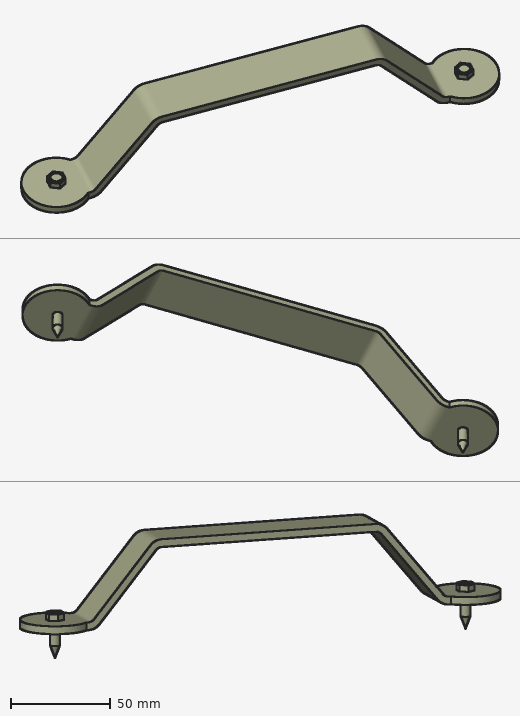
import cadquery as cq
import math

OVERALL_LENGTH = 254.9
STRAP_WIDTH = 25.5
THICKNESS = 4.0
RISE = 40.0
BEND_ANGLE = math.radians(50)
BEND_INNER_RADIUS = 3.8
LOWER_BEND_Y = 96.3
PAD_RADIUS = 17.71
PAD_Y = OVERALL_LENGTH / 2 - PAD_RADIUS

HEAD_FLATS = 8.2
HEAD_CORNERS = HEAD_FLATS / math.cos(math.pi / 6)
HEAD_HEIGHT = 3.8
HEAD_CHAMFER = 0.5
RECESS_DIAMETER = 6.4
RECESS_DEPTH = 0.5
SHANK_DIAMETER = 5.0
SHANK_LENGTH = 9.2
SCREW_LENGTH = 15.8

BEND_RADIUS = BEND_INNER_RADIUS + THICKNESS / 2
BEND_RUN = BEND_RADIUS * math.sin(BEND_ANGLE)
BEND_RISE = BEND_RADIUS * (1 - math.cos(BEND_ANGLE))
LEG_RISE = RISE - 2 * BEND_RISE
LEG_RUN = LEG_RISE / math.tan(BEND_ANGLE)
UPPER_BEND_Y = LOWER_BEND_Y - LEG_RUN - 2 * BEND_RUN


def bend_point(center_y, center_z, radius, angle):
    """Point on a bend arc, with the angle measured from straight up toward +Y."""
    return (center_y + radius * math.sin(angle), center_z + radius * math.cos(angle))


def make_leg():
    """Sloping strap between the +Y pad and the grip, including both bends."""
    inner = BEND_INNER_RADIUS
    outer = inner + THICKNESS
    low = (LOWER_BEND_Y, THICKNESS + inner)
    high = (UPPER_BEND_Y, RISE - inner)
    half = BEND_ANGLE / 2
    return (
        cq.Workplane("YZ")
        .moveTo(*bend_point(*low, -outer, 0))
        .threePointArc(bend_point(*low, -outer, half), bend_point(*low, -outer, BEND_ANGLE))
        .lineTo(*bend_point(*high, inner, BEND_ANGLE))
        .threePointArc(bend_point(*high, inner, half), bend_point(*high, inner, 0))
        .lineTo(*bend_point(*high, outer, 0))
        .threePointArc(bend_point(*high, outer, half), bend_point(*high, outer, BEND_ANGLE))
        .lineTo(*bend_point(*low, -inner, BEND_ANGLE))
        .threePointArc(bend_point(*low, -inner, half), bend_point(*low, -inner, 0))
        .close()
        .extrude(STRAP_WIDTH / 2, both=True)
    )


def make_pad():
    """Round +Y pad, joined to the full strap width at the lower bend."""
    neck_length = PAD_Y - LOWER_BEND_Y
    neck = (
        cq.Workplane("XY")
        .center(0, LOWER_BEND_Y + neck_length / 2)
        .rect(STRAP_WIDTH, neck_length)
        .extrude(THICKNESS)
    )
    beyond_bend = (
        cq.Workplane("XY")
        .center(0, LOWER_BEND_Y + PAD_RADIUS)
        .rect(2 * PAD_RADIUS, 2 * PAD_RADIUS)
        .extrude(THICKNESS)
    )
    disc = cq.Workplane("XY").center(0, PAD_Y).circle(PAD_RADIUS).extrude(THICKNESS)
    hole = cq.Workplane("XY").center(0, PAD_Y).circle(SHANK_DIAMETER / 2).extrude(THICKNESS)
    return disc.intersect(beyond_bend).union(neck).cut(hole)


def make_handle():
    grip = (
        cq.Workplane("XY", origin=(0, 0, RISE))
        .rect(STRAP_WIDTH, 2 * UPPER_BEND_Y)
        .extrude(THICKNESS)
    )
    end = make_leg().union(make_pad())
    return grip.union(end).union(end.mirror("XZ"))


def make_screw(y):
    """One screw, with its head seated on the pad centred at y."""
    shank_radius = SHANK_DIAMETER / 2
    shank = (
        cq.Workplane("XZ")
        .moveTo(0, THICKNESS)
        .lineTo(shank_radius, THICKNESS)
        .lineTo(shank_radius, -SHANK_LENGTH)
        .lineTo(0, -SCREW_LENGTH)
        .close()
        .revolve(360, (0, 0), (0, 1))
    )
    head = (
        cq.Workplane("XY", origin=(0, 0, THICKNESS))
        .polygon(6, HEAD_CORNERS)
        .extrude(HEAD_HEIGHT)
        .faces(">Z")
        .chamfer(HEAD_CHAMFER)
        .faces(">Z")
        .workplane()
        .hole(RECESS_DIAMETER, RECESS_DEPTH)
    )
    return head.union(shank).translate((0, y, 0))


handle = make_handle()
screws = [make_screw(y) for y in (-PAD_Y, PAD_Y)]

result = cq.Compound.makeCompound([handle.val(), *[screw.val() for screw in screws]])